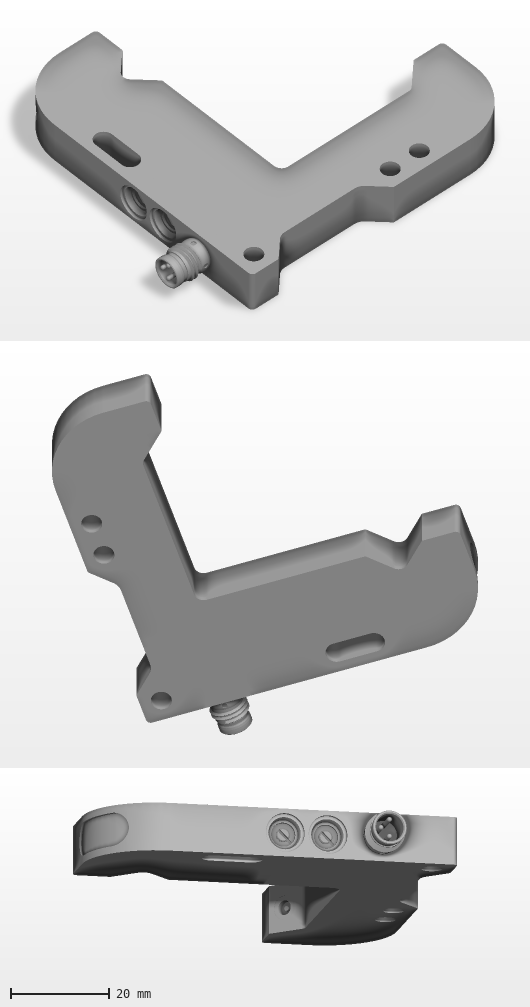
import cadquery as cq
import math


SIDE = 75.0
THICKNESS = 10.0
ARM_WIDTH = 25.0
CORNER_RADIUS = 15.0
EDGE_RADIUS = 1.0
STEP_RADIUS = 1.7
INNER_RADIUS = 2.0
TIP_LENGTH = 8.0
STEP_DEPTH = 6.1
NOTCH_START = 8.0
NOTCH_DEPTH = 6.05
NOTCH_RADIUS = 2.0
BACK_DEPTH = 5.0
BACK_LOW = 7.3
BACK_HIGH = 39.0
BACK_RADIUS = 3.0

HOLE_X = 70.6
HOLE_HEIGHTS = (4.5, 42.0, 50.0)
HOLE_DIAMETER = 4.3
SLOT_X = 29.0
SLOT_LENGTH = 12.5
SLOT_WIDTH = 4.5

LENS_LENGTH = 17.0
LENS_HEIGHT = 7.0
LENS_SHIFT = 0.5
LENS_ANGLE = 23.3

EMITTER_OFFSET = 2.6
EMITTER_RING_RADIUS = 2.5
EMITTER_RING_DEPTH = 0.1
EMITTER_RADIUS = 1.5
EMITTER_DEPTH = 1.4
DIODE_RADIUS = 0.5
DIODE_HEIGHT = 0.7

SCREW_POSITIONS = (39.1, 48.0)
COUNTERBORE_RADIUS = 4.0
COUNTERBORE_DEPTH = 0.7
BORE_MOUTH_RADIUS = 3.4
BORE_FLOOR_RADIUS = 3.0
BORE_DEPTH = 2.0
DIAL_RADIUS = 2.5
DIAL_DEPTH = 0.5
KNOB_RADIUS = 1.4
KNOB_HEIGHT = 0.4
KNOB_CHAMFER = 0.25
KNOB_SLOT_WIDTH = 0.6
KNOB_SLOT_DEPTH = 0.2
KNOB_SLOT_REACH = 2.3
KNOB_SLOT_ANGLE = 45

CONNECTOR_X = 59.0
CONNECTOR_LENGTH = 9.0
COLLAR_LENGTH = 2.5
COLLAR_RADIUS = 3.8
CORE_RADIUS = 3.5
CORE_END = 6.1
THREAD_START = 2.85
THREAD_RADIUS = 4.0
THREAD_PITCH = 1.0
THREAD_TURNS = 2.8
THREAD_HALF_WIDTH = 0.4
THREAD_OVERLAP = 0.1
NECK_RADIUS = 3.3
NECK_END = 6.9
RIM_CONE_RADIUS = 3.45
RIM_CONE_END = 7.2
RIM_START = 7.7
RIM_CHAMFER = 0.2
SOCKET_RADIUS = 2.85
SOCKET_DEPTH = 6.7
SOCKET_CHAMFER = 0.25
PIN_RADIUS = 0.5
PIN_CIRCLE_RADIUS = 1.8
PIN_LENGTH = 6.55
PIN_TIP_RADIUS = 0.4
DIMPLE_RADIUS = 0.6
DIMPLE_DEPTH = 0.3
DIMPLE_POSITION = 1.5


def rounded(body, corners, radius):
    """Round the upright edges of the plate that stand at the given corners."""
    reach = 0.1
    for x, y in corners:
        near = cq.selectors.BoxSelector((x - reach, y - reach, -reach), (x + reach, y + reach, reach))
        body = body.edges(near).fillet(radius)
    return body


def make_plate():
    step_x = SIDE - ARM_WIDTH
    inner_x = step_x + STEP_DEPTH
    step_y = SIDE - TIP_LENGTH
    back_x = SIDE - BACK_DEPTH
    notch_x = NOTCH_START + NOTCH_DEPTH
    notch_bottom = (notch_x, ARM_WIDTH - NOTCH_DEPTH)
    back_corners = [(back_x, BACK_LOW + BACK_DEPTH), (back_x, BACK_HIGH - BACK_DEPTH)]
    tip_corners = [(0, ARM_WIDTH), (step_x, SIDE), (SIDE, 0)]
    outline = [
        (0, 0),
        (SIDE, 0),
        (SIDE, BACK_LOW),
        *back_corners,
        (SIDE, BACK_HIGH),
        (SIDE, SIDE),
        (step_x, SIDE),
        (step_x, step_y),
        (inner_x, step_y - STEP_DEPTH),
        (inner_x, ARM_WIDTH),
        (notch_x + NOTCH_DEPTH, ARM_WIDTH),
        notch_bottom,
        (NOTCH_START, ARM_WIDTH),
        (0, ARM_WIDTH),
    ]
    plate = cq.Workplane("XY").polyline(outline).close().extrude(THICKNESS / 2, both=True)
    plate = rounded(plate, [(0, 0), (SIDE, SIDE)], CORNER_RADIUS)
    plate = rounded(plate, tip_corners, EDGE_RADIUS)
    plate = rounded(plate, [(inner_x, step_y - STEP_DEPTH)], STEP_RADIUS)
    plate = rounded(plate, [(inner_x, ARM_WIDTH)], INNER_RADIUS)
    plate = rounded(plate, [notch_bottom], NOTCH_RADIUS)
    return rounded(plate, back_corners, BACK_RADIUS)


def cut_mounting_openings(plate):
    holes = (
        cq.Workplane("XY")
        .pushPoints([(HOLE_X, y) for y in HOLE_HEIGHTS])
        .circle(HOLE_DIAMETER / 2)
        .extrude(THICKNESS, both=True)
    )
    slot = (
        cq.Workplane("XY")
        .center(SLOT_X, HOLE_HEIGHTS[0])
        .slot2D(SLOT_LENGTH, SLOT_WIDTH)
        .extrude(THICKNESS, both=True)
    )
    return plate.cut(holes).cut(slot)


def cut_lens_recess(plate):
    """Oblong recess whose floor is the plate's corner shifted along its diagonal."""
    angle = math.radians(LENS_ANGLE)
    inward = cq.Vector(math.cos(angle), math.sin(angle), 0)
    across = cq.Vector(math.sin(angle), -math.cos(angle), 0)
    middle = cq.Vector(CORNER_RADIUS, CORNER_RADIUS, 0) - inward * CORNER_RADIUS
    oblong = (
        cq.Workplane(cq.Plane(middle, across, inward))
        .slot2D(LENS_LENGTH, LENS_HEIGHT)
        .extrude(CORNER_RADIUS / 2, both=True)
    )
    floor_body = (
        cq.Workplane("XY")
        .rect(SIDE, SIDE, centered=False)
        .extrude(THICKNESS, both=True)
        .edges("|Z and <X and <Y")
        .fillet(CORNER_RADIUS)
        .translate((LENS_SHIFT, LENS_SHIFT, 0))
    )
    return plate.cut(oblong.cut(floor_body))


def cut_emitter(plate):
    face_point = (SIDE - ARM_WIDTH + EMITTER_OFFSET, SIDE - TIP_LENGTH - EMITTER_OFFSET, 0)
    inward = cq.Workplane(cq.Plane(face_point, (0, 0, 1), (1, 1, 0)))
    ring = inward.circle(EMITTER_RING_RADIUS).extrude(EMITTER_RING_DEPTH)
    well = inward.circle(EMITTER_RADIUS).extrude(EMITTER_DEPTH)
    diode = inward.workplane(offset=EMITTER_DEPTH - DIODE_HEIGHT).circle(DIODE_RADIUS).extrude(DIODE_HEIGHT)
    return plate.cut(ring).cut(well.cut(diode))


def screw_cavity(x):
    """Everything removed from the plate around one slotted adjusting screw."""
    floor = BORE_DEPTH + DIAL_DEPTH
    profile = [
        (0, 0),
        (COUNTERBORE_RADIUS, 0),
        (COUNTERBORE_RADIUS, COUNTERBORE_DEPTH),
        (BORE_MOUTH_RADIUS, COUNTERBORE_DEPTH),
        (BORE_FLOOR_RADIUS, BORE_DEPTH),
        (DIAL_RADIUS, BORE_DEPTH),
        (DIAL_RADIUS, floor),
        (0, floor),
    ]
    cavity = cq.Workplane("XY").polyline(profile).close().revolve(360, (0, 0), (0, 1))
    knob_face = cq.Workplane("XZ", origin=(0, floor, 0))
    knob = knob_face.circle(KNOB_RADIUS).extrude(KNOB_HEIGHT).faces("<Y").chamfer(KNOB_CHAMFER)
    groove = (
        knob_face.workplane(offset=-KNOB_SLOT_DEPTH)
        .transformed(rotate=(0, 0, -KNOB_SLOT_ANGLE))
        .center((KNOB_SLOT_REACH - KNOB_RADIUS) / 2, 0)
        .rect(KNOB_SLOT_REACH + KNOB_RADIUS, KNOB_SLOT_WIDTH)
        .extrude(KNOB_HEIGHT + KNOB_SLOT_DEPTH)
    )
    return cavity.cut(knob).union(groove).translate((x, 0, 0))


def make_thread():
    """Helical ridge on the connector core, running along +Z from the origin."""
    ridge_root = CORE_RADIUS - THREAD_OVERLAP
    path = cq.Wire.makeHelix(THREAD_PITCH, THREAD_PITCH * THREAD_TURNS, CORE_RADIUS)
    return (
        cq.Workplane("XZ")
        .polyline([(ridge_root, -THREAD_HALF_WIDTH), (THREAD_RADIUS, 0), (ridge_root, THREAD_HALF_WIDTH)])
        .close()
        .sweep(cq.Workplane(obj=path), isFrenet=True)
    )


def make_connector():
    """Plug connector standing along +Z on the origin."""
    body = (
        cq.Workplane("XZ")
        .lineTo(CORE_RADIUS, 0)
        .threePointArc((COLLAR_RADIUS, COLLAR_LENGTH / 2), (CORE_RADIUS, COLLAR_LENGTH))
        .lineTo(CORE_RADIUS, CORE_END)
        .lineTo(NECK_RADIUS, CORE_END)
        .lineTo(NECK_RADIUS, NECK_END)
        .lineTo(RIM_CONE_RADIUS, RIM_CONE_END)
        .lineTo(CORE_RADIUS, RIM_START)
        .lineTo(CORE_RADIUS, CONNECTOR_LENGTH - RIM_CHAMFER)
        .lineTo(CORE_RADIUS - RIM_CHAMFER, CONNECTOR_LENGTH)
        .lineTo(0, CONNECTOR_LENGTH)
        .close()
        .revolve(360, (0, 0), (0, 1))
    )
    body = body.union(make_thread().translate((0, 0, THREAD_START)))
    socket_floor = cq.Workplane("XY", origin=(0, 0, CONNECTOR_LENGTH - SOCKET_DEPTH))
    body = body.cut(socket_floor.circle(SOCKET_RADIUS).extrude(SOCKET_DEPTH))
    socket_mouth = cq.selectors.RadiusNthSelector(0)
    body = body.faces(">Z").edges(socket_mouth).chamfer(SOCKET_CHAMFER)
    for angle in (90, 180, 270):
        x = PIN_CIRCLE_RADIUS * math.cos(math.radians(angle))
        y = PIN_CIRCLE_RADIUS * math.sin(math.radians(angle))
        pin = socket_floor.center(x, y).circle(PIN_RADIUS).extrude(PIN_LENGTH)
        body = body.union(pin.faces(">Z").edges().fillet(PIN_TIP_RADIUS))
    dimple = (
        cq.Workplane("YZ", origin=(COLLAR_RADIUS - DIMPLE_DEPTH, 0, DIMPLE_POSITION))
        .circle(DIMPLE_RADIUS)
        .extrude(DIMPLE_DEPTH)
    )
    for angle in (0, 90, 180, 270):
        body = body.cut(dimple.rotate((0, 0, 0), (0, 0, 1), angle))
    return body


plate = cut_emitter(cut_lens_recess(cut_mounting_openings(make_plate())))
for screw_x in SCREW_POSITIONS:
    plate = plate.cut(screw_cavity(screw_x))
connector = make_connector().rotate((0, 0, 0), (1, 0, 0), 90).translate((CONNECTOR_X, 0, 0))
result = plate.union(connector)